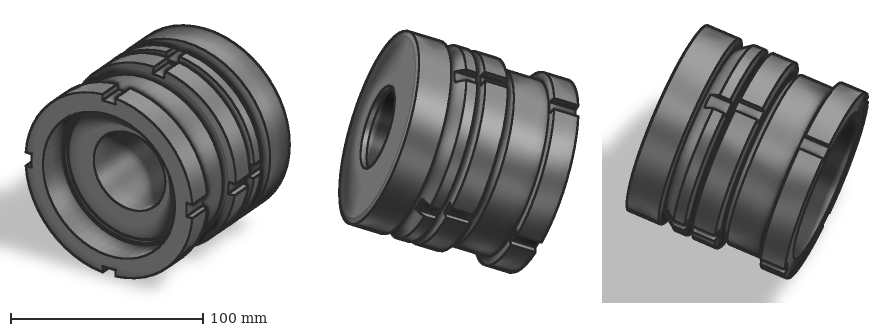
import cadquery as cq
import math


outer_radius = 52.54
bore_radius = 22.5
thread_radius = 40.0
chamfer_angle = 15.0
rim_chamfer_height = 4.3
rim_chamfer_length = rim_chamfer_height * math.tan(math.radians(chamfer_angle))

notch_count = 4
notch_width = 8.0
notch_floor_radius = 48.8
notch_overcut = 1.0

nut_length = 38.0
nut_rim_length = 14.9
nut_body_radius = 48.0
nut_back_chamfer_length = 3.3
nut_back_chamfer_height = 3.9
nut_recess_radius = 41.5
nut_recess_depth = 18.0
nut_bore_radius = 39.0
nut_bore_chamfer = 1.1

lock_gap = 1.0
lock_front = nut_length + lock_gap
lock_length = 15.0
lock_back = lock_front + lock_length
lock_notch_width = 7.0
lock_turn = 5.2

sleeve_front = nut_recess_depth + nut_bore_chamfer
sleeve_front_chamfer = 0.5
relief_radius = 38.5
relief_length = 2.2
collar_front = lock_back + relief_length
sphere_start = 63.6
sphere_center = 29.0
sphere_radius = math.hypot(outer_radius, sphere_start - sphere_center)
sleeve_turn = 1.6

ring_front = 71.0
ring_back = 91.21
ring_back_chamfer_length = 0.8
ring_back_chamfer_height = 3.0


def sphere_at(radius):
    """Y position where the collar's sphere has the given radius about the Y axis."""
    return sphere_center + math.sqrt(sphere_radius**2 - radius**2)


def sphere_radius_at(y):
    """Radius of the collar's sphere about the Y axis at position y."""
    return math.sqrt(sphere_radius**2 - (y - sphere_center) ** 2)


def sphere_midpoint(start, end):
    """Point of the sphere's profile halfway in Y between two profile points."""
    y = (start[1] + end[1]) / 2
    return (sphere_radius_at(y), y)


def turned(profile):
    """Revolve a closed (radius, Y) profile about the Y axis."""
    return profile.close().revolve(360, (0, 0, 0), (0, 1, 0))


def cut_notches(body, width, start, end, turn=0.0):
    """Cut the spanner notches between two Y positions, turned clockwise seen from the front."""
    depth = outer_radius - notch_floor_radius + notch_overcut
    for index in range(notch_count):
        notch = (
            cq.Workplane("XY")
            .box(width, end - start, depth, centered=(True, False, False))
            .translate((0, start, notch_floor_radius))
            .rotate((0, 0, 0), (0, 1, 0), turn + index * 360 / notch_count)
        )
        body = body.cut(notch)
    return body


def make_clamp_nut():
    profile = cq.Workplane("XY").polyline(
        [
            (nut_recess_radius, 0),
            (outer_radius, 0),
            (outer_radius, nut_rim_length - rim_chamfer_length),
            (outer_radius - rim_chamfer_height, nut_rim_length),
            (nut_body_radius, nut_rim_length),
            (nut_body_radius, nut_length - nut_back_chamfer_length),
            (nut_body_radius - nut_back_chamfer_height, nut_length),
            (nut_bore_radius, nut_length),
            (nut_bore_radius, nut_recess_depth + nut_bore_chamfer),
            (nut_bore_radius + nut_bore_chamfer, nut_recess_depth),
            (nut_recess_radius, nut_recess_depth),
        ]
    )
    return cut_notches(turned(profile), notch_width, 0, nut_rim_length)


def make_lock_nut():
    profile = cq.Workplane("XY").polyline(
        [
            (thread_radius, lock_front),
            (outer_radius - rim_chamfer_height, lock_front),
            (outer_radius, lock_front + rim_chamfer_length),
            (outer_radius, lock_back - rim_chamfer_length),
            (outer_radius - rim_chamfer_height, lock_back),
            (thread_radius, lock_back),
        ]
    )
    return cut_notches(turned(profile), lock_notch_width, lock_front, lock_back, lock_turn)


def make_sleeve():
    collar_edge = (outer_radius, sphere_start)
    bore_edge = (bore_radius, sphere_at(bore_radius))
    profile = (
        cq.Workplane("XY")
        .polyline(
            [
                (bore_radius, sleeve_front),
                (nut_bore_radius - sleeve_front_chamfer, sleeve_front),
                (nut_bore_radius, sleeve_front + sleeve_front_chamfer),
                (nut_bore_radius, nut_length),
                (thread_radius, nut_length),
                (thread_radius, lock_back),
                (relief_radius, lock_back),
                (relief_radius, collar_front),
                (outer_radius - rim_chamfer_height, collar_front),
                (outer_radius, collar_front + rim_chamfer_length),
                collar_edge,
            ]
        )
        .threePointArc(sphere_midpoint(collar_edge, bore_edge), bore_edge)
    )
    notch_end = sphere_at(notch_floor_radius)
    return cut_notches(turned(profile), notch_width, collar_front, notch_end, sleeve_turn)


def make_seat_ring():
    seat_edge = (sphere_radius_at(ring_front), ring_front)
    bore_edge = (bore_radius, sphere_at(bore_radius))
    profile = (
        cq.Workplane("XY")
        .moveTo(*bore_edge)
        .threePointArc(sphere_midpoint(bore_edge, seat_edge), seat_edge)
        .lineTo(outer_radius - rim_chamfer_height, ring_front)
        .lineTo(outer_radius, ring_front + rim_chamfer_length)
        .lineTo(outer_radius, ring_back - ring_back_chamfer_length)
        .lineTo(outer_radius - ring_back_chamfer_height, ring_back)
        .lineTo(bore_radius, ring_back)
    )
    return turned(profile)


clamp_nut = make_clamp_nut()
lock_nut = make_lock_nut()
sleeve = make_sleeve()
seat_ring = make_seat_ring()

result = cq.Compound.makeCompound(
    [clamp_nut.val(), lock_nut.val(), sleeve.val(), seat_ring.val()]
)